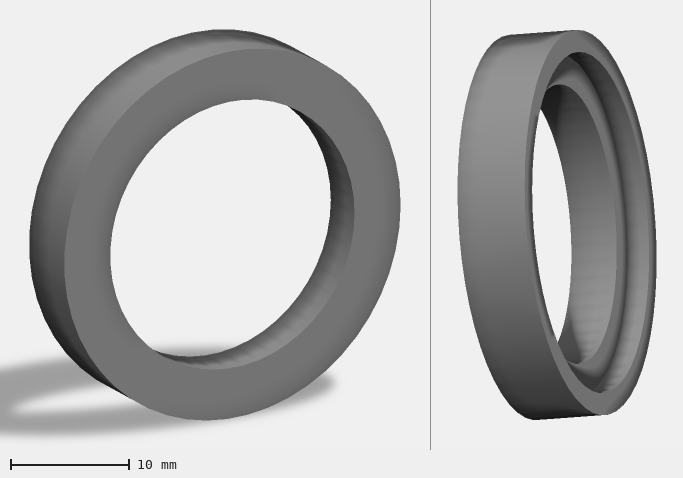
import cadquery as cq

outer_diameter = 32.5
bore_diameter = 23.6
recess_diameter = 28.8
width = 6.0
recess_depth = 1.95

ring = cq.Workplane("YZ").circle(outer_diameter / 2).circle(bore_diameter / 2).extrude(width)

recess = cq.Workplane("YZ").circle(recess_diameter / 2).extrude(recess_depth)

result = ring.cut(recess)